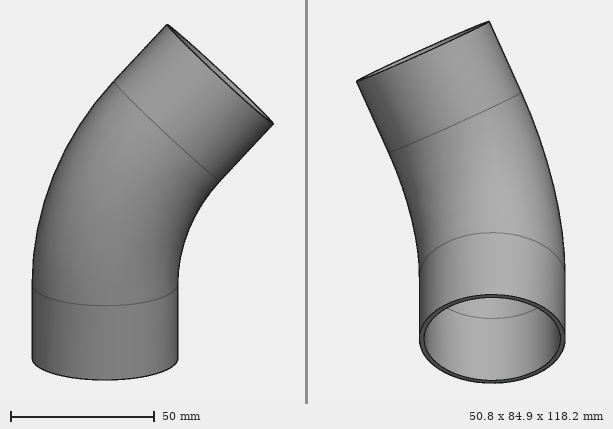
import cadquery as cq
import math

overall_height = 118.2
outer_diameter = 50.8
inner_diameter = 47.5
bend_radius = 76.2
bend_angle = 45.0

outer_radius = outer_diameter / 2
bend_sine = math.sin(math.radians(bend_angle))
bend_cosine = math.cos(math.radians(bend_angle))

bend_rise = (bend_radius + outer_radius) * bend_sine
end_length = (overall_height - bend_rise) / (1 + bend_cosine)


def centreline_point(angle_degrees):
    """Point (y, z) on the bend's centreline, by angle turned from vertical towards +Y."""
    angle = math.radians(angle_degrees)
    y = bend_radius * (1 - math.cos(angle))
    z = end_length + bend_radius * math.sin(angle)
    return (y, z)


bend_end_y, bend_end_z = centreline_point(bend_angle)
tube_end = (bend_end_y + end_length * bend_sine, bend_end_z + end_length * bend_cosine)
centreline = (
    cq.Workplane("YZ")
    .moveTo(0, 0)
    .lineTo(0, end_length)
    .threePointArc(centreline_point(bend_angle / 2), (bend_end_y, bend_end_z))
    .lineTo(*tube_end)
)

result = (
    cq.Workplane("XY")
    .circle(outer_radius)
    .circle(inner_diameter / 2)
    .sweep(centreline)
)